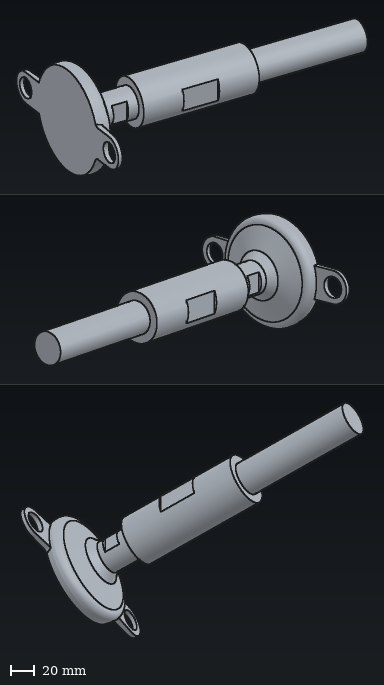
import cadquery as cq
import math

TOTAL_LENGTH = 290.0

FLOOR_RADIUS = 48.7
RIM_RADIUS = 50.02
RIM_BOTTOM = 6.0
RIM_TOP = 8.7
SHOULDER_RADIUS = 42.5
SHOULDER_HEIGHT = 15.7
NECK_RADIUS = 22.0
NECK_HEIGHT = 23.5
COLLAR_RADIUS = 20.3
COLLAR_HEIGHT = 25.2
CONE_TOP = 30.7

LUG_SPAN = 166.0
LUG_WIDTH = 30.2
LUG_TIP_THICKNESS = 4.0
LUG_ROOT_THICKNESS = 5.8
LUG_ROOT_X = FLOOR_RADIUS
LUG_HOLE_DIAMETER = 18.8
LUG_CORNER_RADIUS = 5.0
LUG_END_X = LUG_SPAN / 2
LUG_HOLE_X = LUG_END_X - LUG_WIDTH / 2

SPINDLE_RADIUS = 15.0
SPINDLE_FLAT_DISTANCE = 24.0
SPINDLE_FLAT_BOTTOM = 36.8
SPINDLE_FLAT_TOP = 51.5

SLEEVE_RADIUS = 23.05
SLEEVE_BOTTOM = 62.0
SLEEVE_TOP = 177.2
SLEEVE_FLAT_DISTANCE = 41.2
SLEEVE_FLAT_BOTTOM = 102.0
SLEEVE_FLAT_TOP = 137.5


def cylinder_y(radius, bottom, top):
    """Cylinder about the Y axis between two heights."""
    return cq.Workplane("XZ", origin=(0, bottom, 0)).circle(radius).extrude(bottom - top)


def cut_wrench_flats(body, radius, flat_distance, bottom, top):
    """Cut two opposite flats, facing -X and +X, into a round body."""
    depth = radius - flat_distance / 2
    for side in (-1, 1):
        cutter = cq.Workplane("XY").box(2 * depth, top - bottom, 2 * radius)
        body = body.cut(cutter.translate((side * radius, (bottom + top) / 2, 0)))
    return body


def make_base_dome():
    """Dome revolved about Y, with a rounded shoulder tangent to its rim."""
    return (
        cq.Workplane("XY")
        .moveTo(0, 0)
        .lineTo(FLOOR_RADIUS, 0)
        .lineTo(RIM_RADIUS, RIM_BOTTOM)
        .lineTo(RIM_RADIUS, RIM_TOP)
        .tangentArcPoint((SHOULDER_RADIUS, SHOULDER_HEIGHT), relative=False)
        .lineTo(NECK_RADIUS, NECK_HEIGHT)
        .lineTo(COLLAR_RADIUS, COLLAR_HEIGHT)
        .lineTo(SPINDLE_RADIUS, CONE_TOP)
        .lineTo(0, CONE_TOP)
        .close()
        .revolve(360, (0, 0, 0), (0, 1, 0))
    )


def make_lug_corner(side_z):
    """Concave rounded corner between the floor disc and one edge of the +X lug."""
    half_width = LUG_WIDTH / 2
    centre_z = half_width + LUG_CORNER_RADIUS
    centre_distance = FLOOR_RADIUS + LUG_CORNER_RADIUS
    centre_x = math.sqrt(centre_distance**2 - centre_z**2)
    disc_share = FLOOR_RADIUS / centre_distance
    filler = (
        cq.Workplane("XZ")
        .polyline(
            [
                (centre_x * disc_share, 0),
                (centre_x * disc_share, side_z * centre_z * disc_share),
                (centre_x, side_z * centre_z),
                (centre_x, 0),
            ]
        )
        .close()
        .extrude(-LUG_ROOT_THICKNESS)
    )
    round_cutter = (
        cq.Workplane("XZ")
        .center(centre_x, side_z * centre_z)
        .circle(LUG_CORNER_RADIUS)
        .extrude(-LUG_ROOT_THICKNESS)
    )
    return filler.cut(round_cutter)


def make_lugs():
    """Bar with round ends and rounded +X root corners, its top sloping down to both tips."""
    bar = cq.Workplane("XZ").slot2D(LUG_SPAN, LUG_WIDTH).extrude(-LUG_ROOT_THICKNESS)
    for side_z in (-1, 1):
        bar = bar.union(make_lug_corner(side_z))
    sloped_envelope = (
        cq.Workplane("XY")
        .polyline(
            [
                (-LUG_END_X, 0),
                (LUG_END_X, 0),
                (LUG_END_X, LUG_TIP_THICKNESS),
                (LUG_ROOT_X, LUG_ROOT_THICKNESS),
                (-LUG_ROOT_X, LUG_ROOT_THICKNESS),
                (-LUG_END_X, LUG_TIP_THICKNESS),
            ]
        )
        .close()
        .extrude(LUG_WIDTH, both=True)
    )
    holes = (
        cq.Workplane("XZ")
        .pushPoints([(-LUG_HOLE_X, 0), (LUG_HOLE_X, 0)])
        .circle(LUG_HOLE_DIAMETER / 2)
        .extrude(-LUG_ROOT_THICKNESS)
    )
    return bar.intersect(sloped_envelope).cut(holes)


def make_foot():
    """Base, lugs and full-length spindle as one body."""
    spindle = cylinder_y(SPINDLE_RADIUS, 0, TOTAL_LENGTH)
    spindle = cut_wrench_flats(
        spindle, SPINDLE_RADIUS, SPINDLE_FLAT_DISTANCE, SPINDLE_FLAT_BOTTOM, SPINDLE_FLAT_TOP
    )
    return make_base_dome().union(make_lugs()).union(spindle)


def make_sleeve():
    """Sleeve fitting closely around the spindle."""
    sleeve = cylinder_y(SLEEVE_RADIUS, SLEEVE_BOTTOM, SLEEVE_TOP)
    sleeve = sleeve.cut(cylinder_y(SPINDLE_RADIUS, SLEEVE_BOTTOM, SLEEVE_TOP))
    return cut_wrench_flats(
        sleeve, SLEEVE_RADIUS, SLEEVE_FLAT_DISTANCE, SLEEVE_FLAT_BOTTOM, SLEEVE_FLAT_TOP
    )


foot = make_foot()
sleeve = make_sleeve()
result = cq.Compound.makeCompound([foot.solids().val(), sleeve.solids().val()])